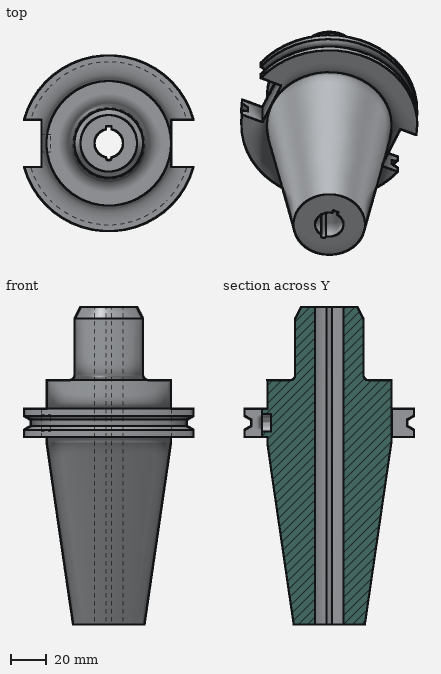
import cadquery as cq
import math

total_height = 177.8
taper_top = 101.7
flange_bottom = 104.9
flange_top = 120.9
shoulder_top = 136.9
nose_chamfer_height = 6.5

shoulder_radius = 34.8
flange_radius = 49.3
nose_radius = 19.2
nose_tip_radius = 15.8
nose_fillet = 2.8
taper_per_length = 7 / 24
small_end_radius = shoulder_radius - taper_top * taper_per_length / 2

flange_middle = (flange_bottom + flange_top) / 2
groove_floor_width = 3.5
groove_depth = 3.5
groove_side_angle = 30.0

slot_width = 26.3
left_slot_floor = 37.7
right_slot_floor = 35.0

slot_hole_diameter = 9.6
slot_hole_depth = 5.0

bore_diameter = 15.8
keyway_width = 3.0
keyway_reach = 9.5


def turned_body():
    floor_half = groove_floor_width / 2
    mouth_half = floor_half + groove_depth * math.tan(math.radians(groove_side_angle))
    groove_radius = flange_radius - groove_depth
    return (
        cq.Workplane("XZ")
        .moveTo(0, 0)
        .lineTo(small_end_radius, 0)
        .lineTo(shoulder_radius, taper_top)
        .lineTo(shoulder_radius, flange_bottom)
        .lineTo(flange_radius, flange_bottom)
        .lineTo(flange_radius, flange_middle - mouth_half)
        .lineTo(groove_radius, flange_middle - floor_half)
        .lineTo(groove_radius, flange_middle + floor_half)
        .lineTo(flange_radius, flange_middle + mouth_half)
        .lineTo(flange_radius, flange_top)
        .lineTo(shoulder_radius, flange_top)
        .lineTo(shoulder_radius, shoulder_top)
        .lineTo(nose_radius + nose_fillet, shoulder_top)
        .radiusArc((nose_radius, shoulder_top + nose_fillet), nose_fillet)
        .lineTo(nose_radius, total_height - nose_chamfer_height)
        .lineTo(nose_tip_radius, total_height)
        .lineTo(0, total_height)
        .close()
        .revolve(360, (0, 0, 0), (0, 1, 0))
    )


def drive_slot(side, floor_distance):
    """Slot through the full flange height; side is -1 for -X and +1 for +X."""
    radial_length = flange_radius - floor_distance
    center_x = side * (floor_distance + flange_radius) / 2
    return (
        cq.Workplane("XY", origin=(center_x, 0, flange_bottom))
        .rect(radial_length, slot_width)
        .extrude(flange_top - flange_bottom)
    )


def slot_hole():
    return (
        cq.Workplane("YZ", origin=(-left_slot_floor, 0, flange_middle))
        .circle(slot_hole_diameter / 2)
        .extrude(slot_hole_depth)
    )


def keyed_bore():
    bore = cq.Workplane("XY").circle(bore_diameter / 2).extrude(total_height)
    square_keyway = (
        cq.Workplane("XY")
        .center(0, keyway_reach / 2)
        .rect(keyway_width, keyway_reach)
        .extrude(total_height)
    )
    round_keyway = (
        cq.Workplane("XY")
        .center(0, -(keyway_reach - keyway_width / 2))
        .circle(keyway_width / 2)
        .extrude(total_height)
    )
    return bore.union(square_keyway).union(round_keyway)


result = (
    turned_body()
    .cut(drive_slot(-1, left_slot_floor))
    .cut(drive_slot(1, right_slot_floor))
    .cut(slot_hole())
    .cut(keyed_bore())
)